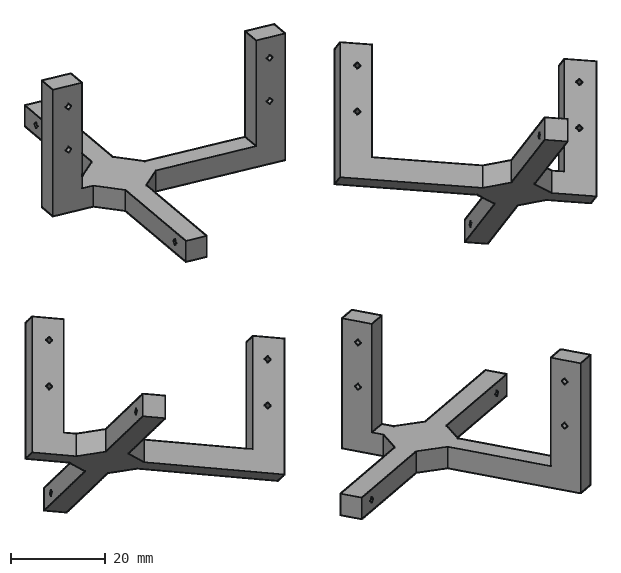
import cadquery as cq
import math

bar = 5.0
cross_length = 72.0
left_reach = 37.5
right_reach = cross_length - left_reach
rear_reach = 38.5
overall_depth = 55.7
front_reach = overall_depth - rear_reach
hub_bevel = 5.0

post_depth = 7.0
post_height = 30.0

hole_side = 1.0
hole_diagonal = hole_side * math.sqrt(2)
arm_hole_inset = 5.0
post_hole_inset = 3.75
post_hole_drop = 4.9
post_hole_spacing = 10.2

half_bar = bar / 2


def block(x_start, x_end, y_start, y_end, height):
    """Block standing on Z = 0 between the given X and Y positions."""
    return (
        cq.Workplane("XY", origin=(x_start, y_start, 0))
        .box(x_end - x_start, y_end - y_start, height, centered=False)
    )


def y_bar_block(y_start, y_end, height):
    """Block as wide as the bar that runs along Y."""
    return block(-half_bar, half_bar, y_start, y_end, height)


def make_hub():
    """Octagonal hub whose diagonal sides bridge the inner corners of the cross."""
    hub_size = bar + 2 * hub_bevel
    hub = cq.Workplane("XY").box(hub_size, hub_size, bar, centered=(True, True, False))
    return hub.edges("|Z").chamfer(hub_bevel)


def make_arm_holes():
    """Holes along Y near both ends of the X bar."""
    left_x = arm_hole_inset - left_reach
    right_x = right_reach - arm_hole_inset
    return (
        cq.Workplane("XZ")
        .pushPoints([(left_x, half_bar), (right_x, half_bar)])
        .polygon(4, hole_diagonal)
        .extrude(half_bar, both=True)
    )


def make_post_holes():
    """Two holes along X through each post."""
    upper_z = post_height - post_hole_drop
    lower_z = upper_z - post_hole_spacing
    rear_y = rear_reach - post_hole_inset
    front_y = post_hole_inset - front_reach
    centers = [(y, z) for y in (front_y, rear_y) for z in (lower_z, upper_z)]
    return (
        cq.Workplane("YZ")
        .pushPoints(centers)
        .polygon(4, hole_diagonal)
        .extrude(half_bar, both=True)
    )


cross_bar = block(-left_reach, right_reach, -half_bar, half_bar, bar)
long_bar = y_bar_block(-front_reach, rear_reach, bar)
front_post = y_bar_block(-front_reach, post_depth - front_reach, post_height)
rear_post = y_bar_block(rear_reach - post_depth, rear_reach, post_height)

body = make_hub().union(cross_bar).union(long_bar).union(front_post).union(rear_post)
result = body.cut(make_arm_holes()).cut(make_post_holes()).clean()